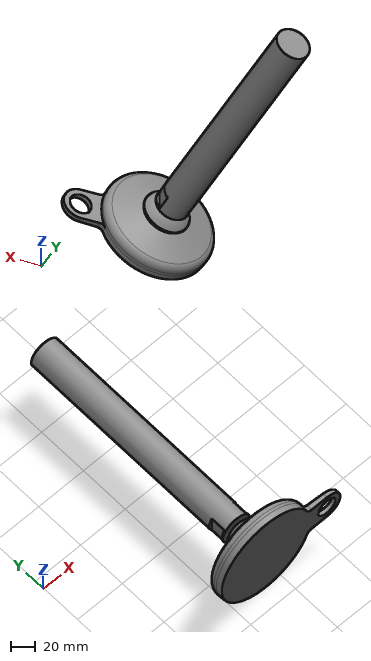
import math

import cadquery as cq


BASE_RADIUS = 50.0
SKIRT_HEIGHT = 6.0
SKIRT_DRAFT = math.radians(5.0)
RIM_TOP = 8.8
SHOULDER_RADIUS = 7.5
CONE_SLOPE = math.radians(19.0)

BALL_RADIUS = 26.6
BALL_CENTER_Y = 9.1
NECK_RADIUS = 20.6

STEM_RADIUS = 15.0
STEM_BOTTOM = 35.5
STEM_TOP = 265.0
FLATS_WIDTH = 24.0
FLATS_BOTTOM = 37.0
FLATS_TOP = 52.0

TAB_RADIUS = 15.0
TAB_REACH = 83.0
TAB_HOLE_DIAMETER = 19.0
TAB_FILLET = 5.0
TAB_SLOPE = math.radians(3.0)

CORNER_MARGIN = 1.0

SKIRT_BOTTOM_RADIUS = BASE_RADIUS - SKIRT_HEIGHT * math.tan(SKIRT_DRAFT)
TAB_CENTER_X = TAB_REACH - TAB_RADIUS
TAB_ROOT_X = math.sqrt(BASE_RADIUS**2 - TAB_RADIUS**2)


def point_on_circle(center_x, center_y, radius, angle):
    """Point at the given angle, measured from +X towards +Y."""
    return (center_x + radius * math.cos(angle), center_y + radius * math.sin(angle))


def revolve_about_stem(profile):
    """Revolve a closed XY profile fully about the Y axis."""
    return profile.close().revolve(360, (0, 0, 0), (0, 1, 0))


def make_skirt():
    """Lowest layer of the base, slightly wider at its top."""
    profile = (
        cq.Workplane("XY")
        .lineTo(SKIRT_BOTTOM_RADIUS, 0)
        .lineTo(BASE_RADIUS, SKIRT_HEIGHT)
        .lineTo(0, SKIRT_HEIGHT)
    )
    return revolve_about_stem(profile)


def make_base_upper():
    """Rim, rounded shoulder and cone blending smoothly, then the neck and the ball."""
    cone_normal = math.pi / 2 - CONE_SLOPE
    shoulder_x = BASE_RADIUS - SHOULDER_RADIUS
    shoulder_mid = point_on_circle(shoulder_x, RIM_TOP, SHOULDER_RADIUS, cone_normal / 2)
    shoulder_end = point_on_circle(shoulder_x, RIM_TOP, SHOULDER_RADIUS, cone_normal)

    shoulder_end_x, shoulder_end_y = shoulder_end
    cone_top_y = shoulder_end_y + (shoulder_end_x - NECK_RADIUS) * math.tan(CONE_SLOPE)
    ball_start_angle = math.acos(NECK_RADIUS / BALL_RADIUS)
    ball_start = point_on_circle(0, BALL_CENTER_Y, BALL_RADIUS, ball_start_angle)
    ball_mid_angle = (ball_start_angle + math.pi / 2) / 2
    ball_mid = point_on_circle(0, BALL_CENTER_Y, BALL_RADIUS, ball_mid_angle)
    ball_top = (0, BALL_CENTER_Y + BALL_RADIUS)

    profile = (
        cq.Workplane("XY")
        .moveTo(0, SKIRT_HEIGHT)
        .lineTo(BASE_RADIUS, SKIRT_HEIGHT)
        .lineTo(BASE_RADIUS, RIM_TOP)
        .threePointArc(shoulder_mid, shoulder_end)
        .lineTo(NECK_RADIUS, cone_top_y)
        .lineTo(*ball_start)
        .threePointArc(ball_mid, ball_top)
    )
    return revolve_about_stem(profile)


def make_skirt_with_tab():
    """Skirt with the tab blended into it; the tab gets thinner towards its tip."""
    skirt = make_skirt()

    tab = (
        cq.Workplane("XZ")
        .moveTo(0, -TAB_RADIUS)
        .lineTo(TAB_CENTER_X, -TAB_RADIUS)
        .threePointArc((TAB_REACH, 0), (TAB_CENTER_X, TAB_RADIUS))
        .lineTo(0, TAB_RADIUS)
        .close()
        .extrude(-SKIRT_HEIGHT)
    )
    root_corners = cq.selectors.BoxSelector(
        (TAB_ROOT_X - CORNER_MARGIN, 0, -TAB_RADIUS - CORNER_MARGIN),
        (TAB_ROOT_X + CORNER_MARGIN, SKIRT_HEIGHT, TAB_RADIUS + CORNER_MARGIN),
    )
    blended = skirt.union(tab).edges(root_corners).edges("not(#Y)").fillet(TAB_FILLET)

    slope_length = TAB_REACH - TAB_ROOT_X
    slope_drop = slope_length * math.tan(TAB_SLOPE)
    slope_cutter = (
        cq.Workplane("XY")
        .moveTo(TAB_ROOT_X, SKIRT_HEIGHT)
        .lineTo(TAB_REACH, SKIRT_HEIGHT - slope_drop)
        .lineTo(TAB_REACH, SKIRT_HEIGHT)
        .close()
        .extrude(BASE_RADIUS, both=True)
    )
    hole = (
        cq.Workplane("XZ")
        .center(TAB_CENTER_X, 0)
        .circle(TAB_HOLE_DIAMETER / 2)
        .extrude(-SKIRT_HEIGHT)
    )
    return blended.cut(slope_cutter).cut(hole).union(skirt)


def make_stem():
    """Round stem with two wrench flats just above its lower end."""
    stem = (
        cq.Workplane("XZ", origin=(0, STEM_BOTTOM, 0))
        .circle(STEM_RADIUS)
        .extrude(STEM_BOTTOM - STEM_TOP)
    )
    flat_depth = STEM_RADIUS - FLATS_WIDTH / 2
    for side in (-1, 1):
        cutter = cq.Workplane("XY").box(flat_depth, FLATS_TOP - FLATS_BOTTOM, 2 * STEM_RADIUS)
        cutter_x = side * (FLATS_WIDTH + flat_depth) / 2
        stem = stem.cut(cutter.translate((cutter_x, (FLATS_BOTTOM + FLATS_TOP) / 2, 0)))
    return stem


result = make_skirt_with_tab().union(make_base_upper()).union(make_stem())